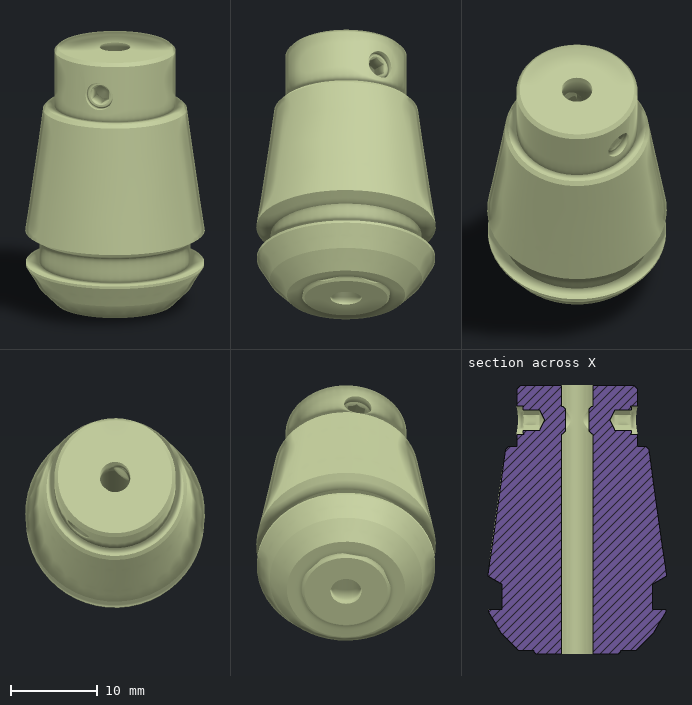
import math

import cadquery as cq

total_height = 31.0
max_diameter = 20.73

neck_diameter = 14.0
neck_height = 7.0
rim_chamfer = 0.4
bore_diameter = 3.55

taper_height = 15.0
taper_angle = 8.0
undercut_angle = 30.0

groove_diameter = 17.4
collar_diameter = 20.6
collar_top = 5.2
collar_height = 0.3
base_height = 0.4
base_diameter = 13.65
base_break_diameter = 17.6

nut_across_flats = 10.0
nut_face_diameter = 9.6

screw_diameter = 3.24
screw_axis_drop = 4.0
screw_head_recess = 0.7
screw_head_chamfer = 0.15
screw_tip_gap = 2.6
screw_tip_diameter = 2.5
socket_across_flats = 2.0
socket_rim_diameter = 2.43
socket_depth = 2.0
socket_cone_height = 0.5

neck_bottom = total_height - neck_height
neck_radius = neck_diameter / 2
body_radius = max_diameter / 2
taper_bottom = neck_bottom - taper_height
taper_length = taper_height - rim_chamfer
taper_top_radius = body_radius - taper_length * math.tan(math.radians(taper_angle))
groove_radius = groove_diameter / 2
undercut_height = (body_radius - groove_radius) * math.tan(math.radians(undercut_angle))
collar_bottom = collar_top - collar_height
base_radius = base_diameter / 2
base_break_radius = base_break_diameter / 2
base_break_height = base_height + base_break_radius - base_radius
screw_axis_height = total_height - screw_axis_drop
screw_tip = screw_tip_gap / 2
screw_head = neck_radius - screw_head_recess


def revolve_profile(points):
    """Revolve a closed (radius, height) outline about the Z axis."""
    outline = cq.Workplane("XZ").polyline(points).close()
    return outline.revolve(360, (0, 0, 0), (0, 1, 0))


def make_body():
    return revolve_profile([
        (0, base_height),
        (base_radius, base_height),
        (base_break_radius, base_break_height),
        (collar_diameter / 2, collar_bottom),
        (collar_diameter / 2, collar_top),
        (groove_radius, collar_top),
        (groove_radius, taper_bottom - undercut_height),
        (body_radius, taper_bottom),
        (taper_top_radius, neck_bottom - rim_chamfer),
        (taper_top_radius - rim_chamfer, neck_bottom),
        (neck_radius, neck_bottom),
        (neck_radius, total_height - rim_chamfer),
        (neck_radius - rim_chamfer, total_height),
        (0, total_height),
    ])


def hexagon_circumdiameter(across_flats):
    return across_flats / math.cos(math.radians(30))


def make_nut():
    """Hexagon with corners on the X axis, its lower edge turned off at 45 degrees."""
    prism = (
        cq.Workplane("XY")
        .polygon(6, hexagon_circumdiameter(nut_across_flats))
        .extrude(base_height)
    )
    face_radius = nut_face_diameter / 2
    turned = revolve_profile([
        (0, 0),
        (face_radius, 0),
        (face_radius + base_height, base_height),
        (0, base_height),
    ])
    return prism.intersect(turned)


def make_screw():
    """Set screw along +Z from tip to head, centred on the Z axis."""
    radius = screw_diameter / 2
    tip_radius = screw_tip_diameter / 2
    screw = revolve_profile([
        (0, screw_tip),
        (tip_radius, screw_tip),
        (radius, screw_tip + radius - tip_radius),
        (radius, screw_head - screw_head_chamfer),
        (radius - screw_head_chamfer, screw_head),
        (0, screw_head),
    ])

    socket_bottom = screw_head - socket_depth
    socket = (
        cq.Workplane("XY", origin=(0, 0, socket_bottom))
        .polygon(6, hexagon_circumdiameter(socket_across_flats))
        .extrude(socket_depth)
    )
    drill_point = revolve_profile([
        (0, socket_bottom - socket_cone_height),
        (socket_across_flats / 2, socket_bottom),
        (0, socket_bottom),
    ])
    rim_radius = socket_rim_diameter / 2
    countersink = revolve_profile([
        (0, screw_head - rim_radius),
        (rim_radius, screw_head),
        (0, screw_head),
    ])
    return screw.cut(socket).cut(drill_point).cut(countersink)


def place_in_neck(shape, turn):
    """Lay a shape built along +Z on the screw axis, then turn it about the part axis."""
    spun = shape.rotate((0, 0, 0), (0, 0, 1), 90)
    laid = spun.rotate((0, 0, 0), (1, 0, 0), 90)
    turned = laid.rotate((0, 0, 0), (0, 0, 1), turn)
    return turned.translate((0, 0, screw_axis_height))


def make_part():
    part = make_body().union(make_nut())

    bore = cq.Workplane("XY").circle(bore_diameter / 2).extrude(total_height)
    part = part.cut(bore)

    screw_hole = cq.Workplane("XY").circle(screw_diameter / 2).extrude(neck_diameter)
    screw = make_screw()
    for turn in (0, 180):
        part = part.cut(place_in_neck(screw_hole, turn))
        part = part.union(place_in_neck(screw, turn))
    return part


result = make_part()